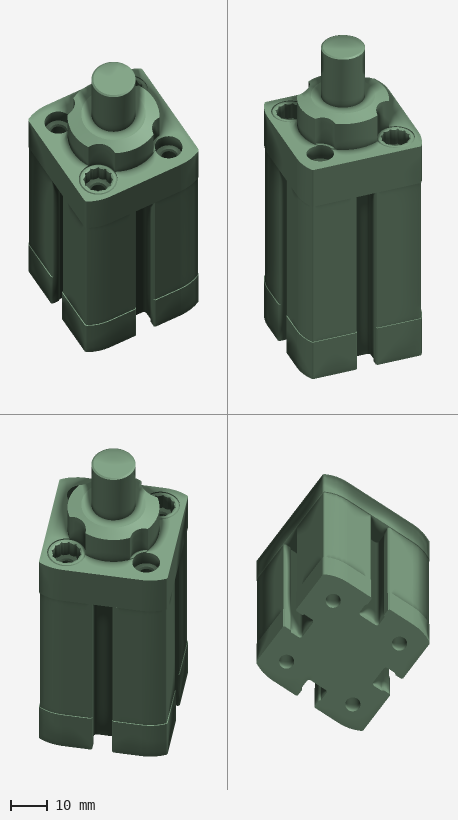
import cadquery as cq
import math

rear_cap_top = 12.0
tube_top = 56.5
front_cap_top = 68.5
collar_height = 9.5
collar_top = front_cap_top + collar_height
rod_top = 94.0

cap_width = 35.5
tube_inset = 0.25
side_flat_half_length = 11.0
corner_bow = 1.85
corner_fillet = 0.8

collar_diameter = 25.0
collar_flat_diameter = 17.5
collar_bevel_angle = 15.0
rod_diameter = 12.0
rod_bevel_width = 0.5
rod_bevel_angle = 30.0

hole_offset = 11.0
thread_core_diameter = 4.13
thread_diameter = 5.0
counterbore_diameter = 7.5
counterbore_depth = 4.1
collar_notch_diameter = 9.0
collar_notch_floor = front_cap_top + 0.3

screw_diameter = 10.5
screw_length = 7.0
screw_chamfer = 0.4
socket_depth = 4.9
socket_diameter = 7.5
socket_mouth_diameter = 8.5
socket_mouth_depth = 0.2
spline_root_diameter = 8.3
spline_count = 12
spline_mouth_width = 1.1

slot_mouth_half_width = 3.1
slot_throat_half_width = 2.75
slot_inner_half_width = 3.2
slot_lip_bevel = slot_mouth_half_width - slot_throat_half_width
slot_throat_depth = 2.2
slot_undercut_depth = 2.8
slot_depth = 6.0
slot_floor_fillet = 0.8

screw_positions = [(-hole_offset, hole_offset), (hole_offset, -hole_offset)]
plain_hole_positions = [(-hole_offset, -hole_offset), (hole_offset, hole_offset)]


def cylinder(diameter, bottom, top, center=(0, 0)):
    return (
        cq.Workplane("XY", origin=(*center, bottom))
        .circle(diameter / 2)
        .extrude(top - bottom)
    )


def cone(bottom_diameter, top_diameter, bottom, top, center=(0, 0)):
    return cq.Workplane(
        cq.Solid.makeCone(
            bottom_diameter / 2, top_diameter / 2, top - bottom, pnt=cq.Vector(*center, bottom)
        )
    )


def bowed_block(inset, bottom, top):
    """Square block whose X sides curve inward, tangentially, toward the four corners."""
    half = cap_width / 2
    bow_length = half - side_flat_half_length
    bow_radius = (bow_length**2 + corner_bow**2) / (2 * corner_bow)
    bow_center_x = half - bow_radius
    half_sweep = math.asin(bow_length / bow_radius) / 2
    mid_x = bow_center_x + bow_radius * math.cos(half_sweep)
    mid_y = side_flat_half_length + bow_radius * math.sin(half_sweep)
    corner_x = half - corner_bow
    outline = (
        cq.Workplane("XY", origin=(0, 0, bottom))
        .moveTo(-corner_x, -half)
        .lineTo(corner_x, -half)
        .threePointArc((mid_x, -mid_y), (half, -side_flat_half_length))
        .lineTo(half, side_flat_half_length)
        .threePointArc((mid_x, mid_y), (corner_x, half))
        .lineTo(-corner_x, half)
        .threePointArc((-mid_x, mid_y), (-half, side_flat_half_length))
        .lineTo(-half, -side_flat_half_length)
        .threePointArc((-mid_x, -mid_y), (-corner_x, -half))
        .close()
    )
    block = outline.extrude(top - bottom)
    block = block.edges("|Z").edges(">Y or <Y").fillet(corner_fillet)
    if inset:
        base_outline = block.faces("<Z").wires().toPending()
        block = base_outline.offset2D(-inset).extrude(top - bottom, combine=False)
    return block


def sensor_slot(inset, bottom, top):
    """Undercut slot in the +X face, with its bevelled mouth on the face set in by the inset."""
    face = cap_width / 2
    upper_side = [
        (face - inset, slot_mouth_half_width),
        (face - inset - slot_lip_bevel, slot_throat_half_width),
        (face - slot_throat_depth, slot_throat_half_width),
        (face - slot_undercut_depth, slot_inner_half_width),
        (face - slot_depth, slot_inner_half_width),
    ]
    lower_side = [(x, -y) for x, y in reversed(upper_side)]
    slot = (
        cq.Workplane("XY", origin=(0, 0, bottom))
        .polyline(upper_side + lower_side)
        .close()
        .extrude(top - bottom)
    )
    return slot.edges("|Z and <X").fillet(slot_floor_fillet)


def slotted_block(inset, bottom, top):
    block = bowed_block(inset, bottom, top)
    slot = sensor_slot(inset, bottom, top)
    for quarter in range(4):
        block = block.cut(slot.rotate((0, 0, 0), (0, 0, 1), 90 * quarter))
    return block


def countersunk_bore(entry_height, center):
    """Threaded bore, simplified to its core, from the bottom up to a countersunk entry."""
    sink_depth = (thread_diameter - thread_core_diameter) / 2
    bore = cylinder(thread_core_diameter, 0, entry_height, center)
    sink = cone(thread_core_diameter, thread_diameter, entry_height - sink_depth, entry_height, center)
    return bore.union(sink)


def make_collar():
    """Bevelled collar, notched for access to the plain corner holes."""
    bevel_width = (collar_diameter - collar_flat_diameter) / 2
    bevel_start = collar_top - bevel_width * math.tan(math.radians(collar_bevel_angle))
    collar = cylinder(collar_diameter, front_cap_top, bevel_start)
    collar = collar.union(cone(collar_diameter, collar_flat_diameter, bevel_start, collar_top))
    for center in plain_hole_positions:
        collar = collar.cut(cylinder(collar_notch_diameter, collar_notch_floor, collar_top, center))
    return collar


def make_rod():
    bevel_start = rod_top - rod_bevel_width * math.tan(math.radians(rod_bevel_angle))
    rod = cylinder(rod_diameter, front_cap_top, bevel_start)
    return rod.union(cone(rod_diameter, rod_diameter - 2 * rod_bevel_width, bevel_start, rod_top))


def make_cylinder_body():
    body = slotted_block(0, 0, rear_cap_top)
    body = body.union(slotted_block(tube_inset, rear_cap_top, tube_top))
    body = body.union(bowed_block(0, tube_top, front_cap_top))

    body = body.union(make_collar())
    body = body.union(make_rod())

    for center in plain_hole_positions:
        floor = front_cap_top - counterbore_depth
        body = body.cut(cylinder(counterbore_diameter, floor, collar_top, center))
        body = body.cut(countersunk_bore(floor, center))
    for center in screw_positions:
        floor = front_cap_top - screw_length
        body = body.cut(cylinder(screw_diameter, floor, collar_top, center))
        body = body.cut(cylinder(thread_core_diameter, 0, floor, center))
    return body


def make_screw(center):
    """Hollow screw, flush with the front cap, whose socket has V-shaped spline grooves."""
    bottom = front_cap_top - screw_length
    socket_floor = front_cap_top - socket_depth
    screw = cylinder(screw_diameter, bottom, front_cap_top, center)
    screw = screw.faces(">Z").edges().chamfer(screw_chamfer)

    socket = cylinder(socket_diameter, socket_floor, front_cap_top)
    mouth_x = socket_diameter / 2 * math.cos(math.asin(spline_mouth_width / socket_diameter))
    root_x = spline_root_diameter / 2
    groove = (
        cq.Workplane("XY", origin=(0, 0, socket_floor))
        .polyline([
            (0, -spline_mouth_width / 2),
            (mouth_x, -spline_mouth_width / 2),
            (root_x, 0),
            (mouth_x, spline_mouth_width / 2),
            (0, spline_mouth_width / 2),
        ])
        .close()
        .extrude(socket_depth)
    )
    for index in range(spline_count):
        socket = socket.union(groove.rotate((0, 0, 0), (0, 0, 1), 360 / spline_count * index))
    mouth_floor = front_cap_top - socket_mouth_depth
    mouth = cone(socket_diameter, socket_mouth_diameter, mouth_floor, front_cap_top)
    socket = socket.union(mouth)

    screw = screw.cut(socket.translate((*center, 0)))
    return screw.cut(countersunk_bore(socket_floor, center))


cylinder_body = make_cylinder_body()
screws = [make_screw(center) for center in screw_positions]

result = cq.Compound.makeCompound([cylinder_body.val(), *[screw.val() for screw in screws]])